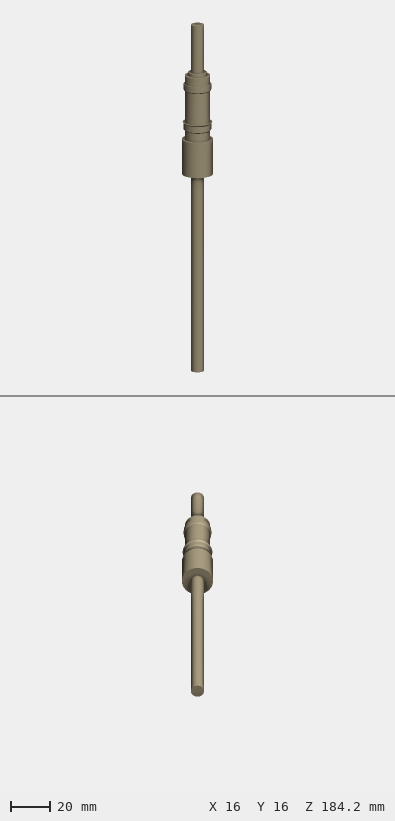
import cadquery as cq

length = 184.2
rod_radius = 3.3

grip_bottom = 104.8
grip_top = 123.4
lower_band_bottom = 128.0
flange_bottom = 131.7
flange_top = 132.4
upper_band_bottom = 149.2
upper_band_top = 152.8
shoulder_top = 157.3
collar_top = 159.0

grip_radius = 8.0
body_radius = 6.5
band_radius = 7.0
flange_radius = 7.5
collar_radius = 4.8
bevel_height = 0.5


def cylinder(radius, bottom, top):
    """Cylinder about the Z axis between two heights."""
    return cq.Workplane("XY").workplane(offset=bottom).circle(radius).extrude(top - bottom)


def cone(bottom_radius, top_radius, bottom, top):
    """Truncated cone about the Z axis between two heights."""
    outline = [(0, bottom), (bottom_radius, bottom), (top_radius, top), (0, top)]
    return cq.Workplane("XZ").polyline(outline).close().revolve(360, (0, 0), (0, 1))


def band(bottom, top):
    """Raised ring whose underside tapers down to the body."""
    ring = cylinder(band_radius, bottom + bevel_height, top)
    return ring.union(cone(body_radius, band_radius, bottom, bottom + bevel_height))


rod = cylinder(rod_radius, 0, length)
grip = cylinder(grip_radius, grip_bottom, grip_top)
body = cylinder(body_radius, grip_top, shoulder_top)
collar = cylinder(collar_radius, shoulder_top, collar_top)

lower_band = band(lower_band_bottom, flange_bottom)
flange = cone(band_radius, flange_radius, flange_bottom, flange_top)
upper_band = band(upper_band_bottom, upper_band_top)

result = rod
for section in (grip, body, collar, lower_band, flange, upper_band):
    result = result.union(section)